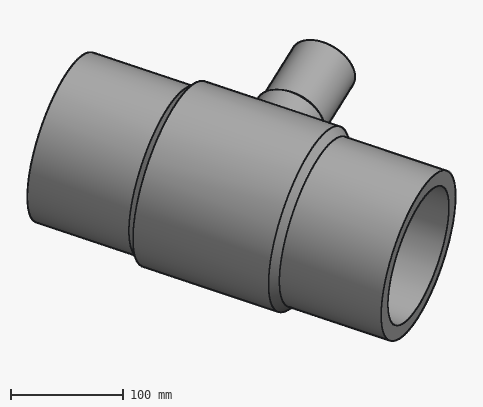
import cadquery as cq

run_length = 347.0
run_diameter = 160.0
run_wall = 14.6
run_bore_diameter = run_diameter - 2 * run_wall

body_diameter = 174.6
body_length = 147.5
body_bevel = (body_diameter - run_diameter) / 2

branch_diameter = 63.0
branch_reach = 175.0
collar_diameter = 68.5
collar_reach = 108.0
collar_bevel = (collar_diameter - branch_diameter) / 2


def cylinder_along_x(diameter, length):
    return cq.Workplane("YZ").circle(diameter / 2).extrude(length / 2, both=True)


def cylinder_along_y(diameter, reach):
    """Cylinder from the run axis out to y = reach."""
    return cq.Workplane("XZ").circle(diameter / 2).extrude(-reach)


def make_run():
    body = cylinder_along_x(body_diameter, body_length)
    body = body.faces("<X or >X").chamfer(body_bevel)
    return cylinder_along_x(run_diameter, run_length).union(body)


def make_branch():
    collar = cylinder_along_y(collar_diameter, collar_reach)
    collar = collar.faces(">Y").chamfer(collar_bevel)
    return cylinder_along_y(branch_diameter, branch_reach).union(collar)


run_bore = cylinder_along_x(run_bore_diameter, run_length)
result = make_run().union(make_branch()).cut(run_bore)